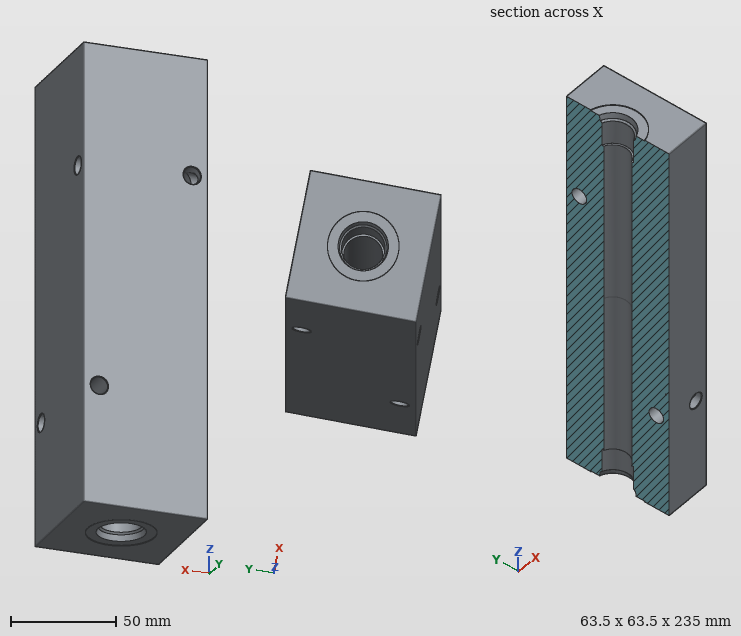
import cadquery as cq

width = 63.5
length = 235.0
edge_radius = 0.35

spotface_diameter = 34.0
spotface_depth = 0.5
seat_diameter = 24.0
seat_floor_diameter = 22.5
seat_depth = 3.0
port_chamfer = 1.0
port_diameter = 20.7
port_depth = 18.8
bore_diameter = 18.5

cross_hole_diameter = 8.7
cross_hole_chamfer = 0.35
cross_hole_edge_distance = 8.0
cross_hole_end_distance = 60.4
cross_hole_offset = width / 2 - cross_hole_edge_distance
cross_hole_height = length / 2 - cross_hole_end_distance


def make_bar():
    """Square bar with slightly rounded edges."""
    return cq.Workplane("XY").box(width, width, length).edges().fillet(edge_radius)


def top_port():
    """Solid of revolution about Z that removes the upper port and the upper half of the bore."""
    top = length / 2
    seat_top = top - spotface_depth
    seat_floor = seat_top - seat_depth
    profile = [
        (0, top),
        (spotface_diameter / 2, top),
        (spotface_diameter / 2, seat_top),
        (seat_diameter / 2, seat_top),
        (seat_floor_diameter / 2, seat_floor),
        (port_diameter / 2, seat_floor - port_chamfer),
        (port_diameter / 2, top - port_depth),
        (bore_diameter / 2, top - port_depth),
        (bore_diameter / 2, 0),
        (0, 0),
    ]
    return cq.Workplane("XZ").polyline(profile).close().revolve(360, (0, 0), (0, 1))


def cross_hole():
    """Hole along Z, as long as the bar is wide, with a chamfer at both mouths."""
    half_width = width / 2
    radius = cross_hole_diameter / 2
    mouth_radius = radius + cross_hole_chamfer
    shoulder = half_width - cross_hole_chamfer
    profile = [
        (0, -half_width),
        (mouth_radius, -half_width),
        (radius, -shoulder),
        (radius, shoulder),
        (mouth_radius, half_width),
        (0, half_width),
    ]
    return cq.Workplane("XZ").polyline(profile).close().revolve(360, (0, 0), (0, 1))


result = make_bar()

upper_port = top_port()
result = result.cut(upper_port).cut(upper_port.mirror("XY"))

hole_along_y = cross_hole().rotate((0, 0, 0), (1, 0, 0), 90)
hole_along_x = cross_hole().rotate((0, 0, 0), (0, 1, 0), 90)
for direction in (1, -1):
    side = direction * cross_hole_offset
    height = direction * cross_hole_height
    result = result.cut(hole_along_y.translate((-side, 0, height)))
    result = result.cut(hole_along_x.translate((0, side, height)))